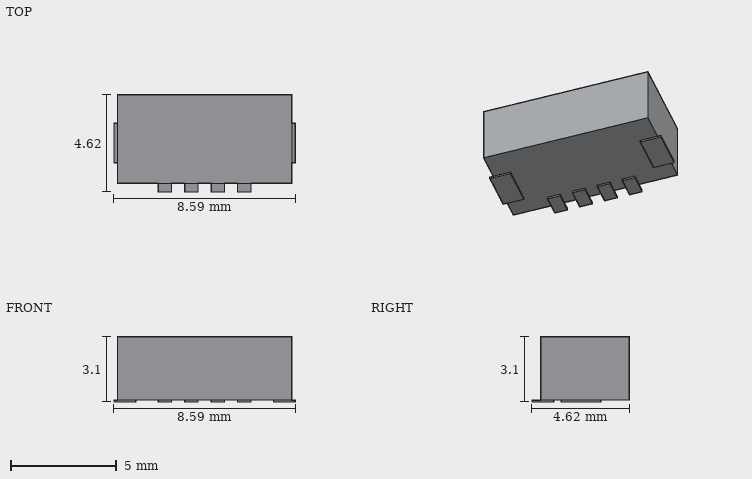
import cadquery as cq

housing_length = 8.25
housing_depth = 4.2
housing_height = 3.0

pad_thickness = 0.1
pad_length = 1.04

signal_pad_count = 4
signal_pad_pitch = 1.25
signal_pad_width = 0.64
signal_pad_overhang = 0.42

mounting_pad_width = 1.88
mounting_pad_overhang = 0.17
mounting_pad_setback = 1.35

signal_pad_y = -housing_depth / 2 - signal_pad_overhang + pad_length / 2
mounting_pad_x = housing_length / 2 + mounting_pad_overhang - pad_length / 2
mounting_pad_y = housing_depth / 2 - mounting_pad_setback - mounting_pad_width / 2


def make_housing():
    """Block whose underside rests on top of the pads."""
    return (
        cq.Workplane("XY")
        .workplane(offset=pad_thickness)
        .box(housing_length, housing_depth, housing_height, centered=(True, True, False))
    )


def make_signal_pad(x):
    """Strip running along Y, sticking out past the -Y face of the housing."""
    return (
        cq.Workplane("XY")
        .box(signal_pad_width, pad_length, pad_thickness, centered=(True, True, False))
        .translate((x, signal_pad_y, 0))
    )


def make_mounting_pad(side):
    """Wide strip at one X end; side is -1 or +1."""
    return (
        cq.Workplane("XY")
        .box(pad_length, mounting_pad_width, pad_thickness, centered=(True, True, False))
        .translate((side * mounting_pad_x, mounting_pad_y, 0))
    )


housing = make_housing()

signal_pads = []
for i in range(signal_pad_count):
    x = (i - (signal_pad_count - 1) / 2) * signal_pad_pitch
    signal_pads.append(make_signal_pad(x).val())

mounting_pads = []
for side in (-1, 1):
    mounting_pads.append(make_mounting_pad(side).val())

result = cq.Compound.makeCompound([housing.val(), *signal_pads, *mounting_pads])